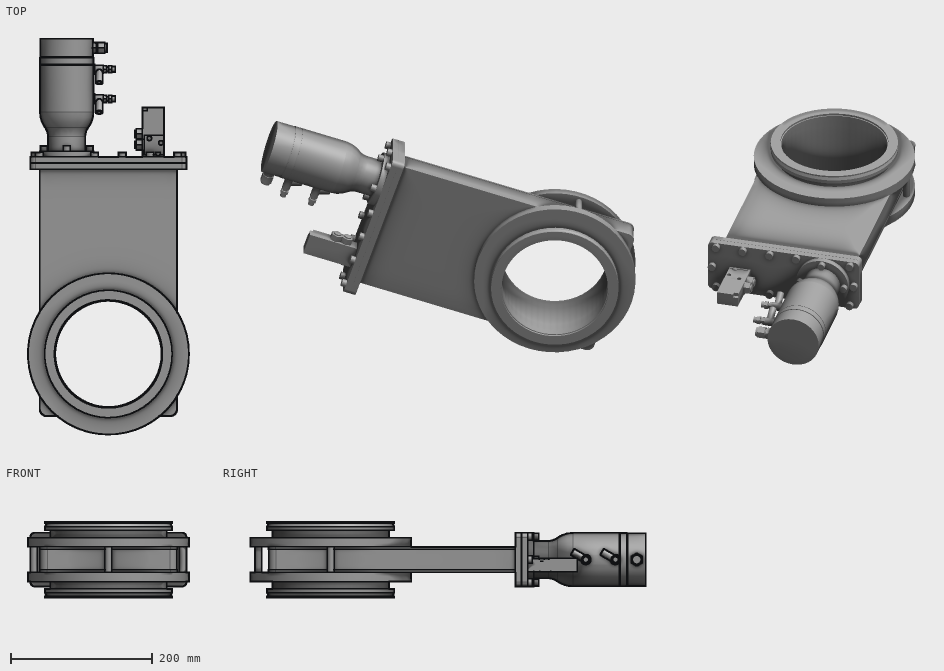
import cadquery as cq
import math


overall_height = 107.82
half_height = overall_height / 2
bore_radius = 75.2
rim_recess_radius = 76.6
rim_recess_depth = 3.0
flange_radius = 114.3
flange_thickness = 13.4
neck_radius = 82.8
rim_radius = 90.3
rim_groove_radius = 87.8
rim_lip_thickness = 2.2
rim_groove_height = 5.1
rim_thickness = 12.4

body_thickness = 35.8
body_width = 195.0
body_front_y = -88.3
body_corner_radius = 10.0
cover_thickness = 3.4
core_inset = 0.5
flange_top_z = body_thickness / 2 + flange_thickness

rod_diameter = 10.0
side_rod_x = 105.7
front_rod_y = -102.5

bonnet_width = 221.6
bonnet_height = 76.8
bonnet_front_y = 261.6
bonnet_plate_thickness = 8.9
bonnet_corner_radius = 7.0
bonnet_joint_depth = 0.3
bonnet_joint_width = 0.4
bonnet_back_y = bonnet_front_y + 2 * bonnet_plate_thickness

screw_head_diameter = 10.8
screw_head_height = 6.4
screw_pitch = 39.2
screws_per_row = 6
screw_row_z = 32.7
side_screw_x = 104.0

actuator_x = -59.2
actuator_end_y = 446.86
actuator_radius = 38.1
actuator_neck_radius = 26.6
actuator_flange_radius = 38.3
actuator_flange_thickness = 8.2
shoulder_start_y = 343.2
cap_joint_y = 420.2
ring_joint_y = 410.0
joint_groove_width = 1.5
joint_groove_depth = 0.6
cap_radius = 37.6
shoulder_radius = 37.0
shoulder_length = 22.0
actuator_screw_offset = 32.4
actuator_screw_diameter = 10.0
actuator_screw_height = 7.4
actuator_flange_y = bonnet_back_y + actuator_flange_thickness

fitting_root_fraction = 0.9

gland_y = 433.8
gland_root_x = actuator_x + fitting_root_fraction * cap_radius
gland_steps = [
    (True, -17.5, 15.6),
    (False, -15.2, 12.5),
    (True, -5.0, 15.6),
    (False, -1.7, 13.0),
]

elbow_y_positions = (403.5, 361.6)
elbow_root_x = actuator_x + fitting_root_fraction * actuator_radius
elbow_steps = [
    (False, -19.6, 14.0),
    (False, -7.2, 11.6),
    (True, -2.4, 10.6),
    (False, 0.2, 6.5),
    (True, 5.0, 10.6),
    (False, 10.0, 8.4),
]
elbow_outlet_x = -13.0
elbow_outlet_diameter = 10.2
elbow_outlet_length = 22.0
elbow_outlet_tilt = 30.0
elbow_outlet_bore = 6.0
elbow_outlet_bore_depth = 3.0

pilot_min_x = 48.0
pilot_max_x = 78.8
pilot_end_y = 349.6
pilot_top_z = 2.0
pilot_bottom_z = -17.0
pilot_middle_z = (pilot_top_z + pilot_bottom_z) / 2
pilot_base_min_x = 50.8
pilot_base_min_y = 282.0
pilot_base_max_y = 309.8
pilot_base_step = 0.8
pilot_holes = [(58.0, 305.6, 6.5), (74.5, 299.2, 6.5)]
pilot_hole_depth = 4.0
notch_max_x = 55.2
notch_min_y = 344.6
notch_depth = 5.0
pilot_screw_x = 70.2
pilot_screw_z = -1.0
pilot_screw_diameter = 8.0
pilot_screw_height = 3.6
port_y_positions = (312.0, 296.5)
port_steps = [(True, 39.2, 15.0), (False, 37.3, 10.5)]

HEXAGON_HALF_CORNER = 180 / 6
OVERLAP = 1.0


def box(x_range, y_range, z_range):
    """Box spanning the given (low, high) ranges."""
    size = [high - low for low, high in (x_range, y_range, z_range)]
    return cq.Workplane("XY").box(*size, centered=False).translate((x_range[0], y_range[0], z_range[0]))


def cylinder_y(x, z, start_y, length, diameter):
    """Cylinder from start_y along +Y."""
    plane = cq.Plane(origin=(x, start_y, z), xDir=(1, 0, 0), normal=(0, 1, 0))
    return cq.Workplane(plane).circle(diameter / 2).extrude(length)


def stepped_fitting(root_x, y, z, steps):
    """Chain of round and hexagonal lengths along X; hexagons point a corner towards +Z."""
    fitting = None
    start_x = root_x
    for hexagonal, end_x, width in steps:
        plane = cq.Plane(origin=(start_x, y, z), xDir=(0, 0, 1), normal=(1, 0, 0))
        profile = cq.Workplane(plane)
        if hexagonal:
            corner_width = width / math.cos(math.radians(HEXAGON_HALF_CORNER))
            profile = profile.polygon(6, corner_width)
        else:
            profile = profile.circle(width / 2)
        segment = profile.extrude(end_x - start_x)
        fitting = segment if fitting is None else fitting.union(segment)
        start_x = end_x
    return fitting


def make_spool_half():
    """Flange, neck and clamp rim above the body, still without the bore."""
    lip_bottom_z = half_height - rim_lip_thickness
    return (
        cq.Workplane("XZ")
        .moveTo(0, body_thickness / 2)
        .lineTo(flange_radius, body_thickness / 2)
        .lineTo(flange_radius, flange_top_z)
        .lineTo(neck_radius, flange_top_z)
        .lineTo(neck_radius, half_height - rim_thickness)
        .lineTo(rim_radius, half_height - rim_thickness)
        .lineTo(rim_radius, lip_bottom_z - rim_groove_height)
        .lineTo(rim_groove_radius, lip_bottom_z)
        .lineTo(rim_radius, lip_bottom_z)
        .lineTo(rim_radius, half_height)
        .lineTo(0, half_height)
        .close()
        .revolve(360, (0, 0, 0), (0, 1, 0))
    )


def make_body_slab(inset, thickness):
    """Slab with rounded front corners, reaching back into the bonnet."""
    half_width = body_width / 2 - inset
    slab = box(
        (-half_width, half_width),
        (body_front_y + inset, bonnet_front_y + OVERLAP),
        (-thickness / 2, thickness / 2),
    )
    return slab.edges("|Z and <Y").fillet(body_corner_radius)


def make_gate_body():
    core_thickness = body_thickness - 2 * cover_thickness
    cover_offset = (body_thickness - cover_thickness) / 2
    cover = make_body_slab(0, cover_thickness)
    body = make_body_slab(core_inset, core_thickness)
    for side in (-1, 1):
        body = body.union(cover.translate((0, 0, side * cover_offset)))
    return body


def make_tie_rods():
    length = body_thickness + 2 * OVERLAP
    positions = [(-side_rod_x, 0), (side_rod_x, 0), (0, front_rod_y)]
    return (
        cq.Workplane("XY", origin=(0, 0, -length / 2))
        .pushPoints(positions)
        .circle(rod_diameter / 2)
        .extrude(length)
    )


def make_bonnet_slab(inset, start_y, thickness):
    half_width = bonnet_width / 2 - inset
    half_depth = bonnet_height / 2 - inset
    slab = box((-half_width, half_width), (start_y, start_y + thickness), (-half_depth, half_depth))
    return slab.edges("|Y").fillet(bonnet_corner_radius - inset)


def make_bonnet():
    """Two plates with a fine joint line between them, and their screw heads."""
    plate_thickness = bonnet_plate_thickness - bonnet_joint_width / 2
    bonnet = make_bonnet_slab(bonnet_joint_depth, bonnet_front_y, 2 * bonnet_plate_thickness)
    for start_y in (bonnet_front_y, bonnet_back_y - plate_thickness):
        bonnet = bonnet.union(make_bonnet_slab(0, start_y, plate_thickness))
    screws = [(-side_screw_x, 0), (side_screw_x, 0)]
    for index in range(screws_per_row):
        x = (index - (screws_per_row - 1) / 2) * screw_pitch
        screws += [(x, -screw_row_z), (x, screw_row_z)]
    for x, z in screws:
        head = cylinder_y(x, z, bonnet_back_y - OVERLAP, screw_head_height + OVERLAP, screw_head_diameter)
        bonnet = bonnet.union(head)
    return bonnet


def make_actuator_shell():
    """Turned cylinder: flange, neck, reverse-curve shoulder, barrel and cap."""
    shoulder_angle = math.asin(shoulder_length / shoulder_radius)
    convex_drop = shoulder_radius * (1 - math.cos(shoulder_angle))
    concave_drop = actuator_radius - actuator_neck_radius - convex_drop
    concave_radius = concave_drop / (1 - math.cos(shoulder_angle))
    meeting_y = shoulder_start_y - shoulder_length
    neck_end_y = meeting_y - concave_radius * math.sin(shoulder_angle)
    half_angle = shoulder_angle / 2
    concave_middle = (
        actuator_neck_radius + concave_radius * (1 - math.cos(half_angle)),
        neck_end_y + concave_radius * math.sin(half_angle),
    )
    convex_middle = (
        actuator_radius - shoulder_radius * (1 - math.cos(half_angle)),
        shoulder_start_y - shoulder_radius * math.sin(half_angle),
    )
    groove_floor = actuator_radius - joint_groove_depth
    half_groove = joint_groove_width / 2
    return (
        cq.Workplane("XY")
        .moveTo(0, bonnet_back_y - OVERLAP)
        .lineTo(actuator_flange_radius, bonnet_back_y - OVERLAP)
        .lineTo(actuator_flange_radius, actuator_flange_y)
        .lineTo(actuator_neck_radius, actuator_flange_y)
        .lineTo(actuator_neck_radius, neck_end_y)
        .threePointArc(concave_middle, (actuator_radius - convex_drop, meeting_y))
        .threePointArc(convex_middle, (actuator_radius, shoulder_start_y))
        .lineTo(actuator_radius, ring_joint_y - half_groove)
        .lineTo(groove_floor, ring_joint_y - half_groove)
        .lineTo(groove_floor, ring_joint_y + half_groove)
        .lineTo(actuator_radius, ring_joint_y + half_groove)
        .lineTo(actuator_radius, cap_joint_y - half_groove)
        .lineTo(cap_radius - joint_groove_depth, cap_joint_y - half_groove)
        .lineTo(cap_radius - joint_groove_depth, cap_joint_y + half_groove)
        .lineTo(cap_radius, cap_joint_y + half_groove)
        .lineTo(cap_radius, actuator_end_y)
        .lineTo(0, actuator_end_y)
        .close()
        .revolve(360, (0, 0, 0), (0, 1, 0))
        .translate((actuator_x, 0, 0))
    )


def make_elbow(y):
    """Straight stepped fitting with a branch tilted up from the -Y direction."""
    tilt = math.radians(elbow_outlet_tilt)
    direction = cq.Vector(0, -math.cos(tilt), math.sin(tilt))
    start = cq.Vector(elbow_outlet_x, y, 0)
    outlet_plane = cq.Plane(origin=start.toTuple(), xDir=(1, 0, 0), normal=direction.toTuple())
    outlet = cq.Workplane(outlet_plane).circle(elbow_outlet_diameter / 2).extrude(elbow_outlet_length)
    bore = (
        cq.Workplane(outlet_plane)
        .workplane(offset=elbow_outlet_length - elbow_outlet_bore_depth)
        .circle(elbow_outlet_bore / 2)
        .extrude(elbow_outlet_bore_depth)
    )
    return stepped_fitting(elbow_root_x, y, 0, elbow_steps).union(outlet).cut(bore)


def make_actuator():
    actuator = make_actuator_shell()
    offset = actuator_screw_offset
    for dx, dz in ((offset, 0), (-offset, 0), (0, offset), (0, -offset)):
        head = cylinder_y(
            actuator_x + dx,
            dz,
            actuator_flange_y - OVERLAP,
            actuator_screw_height + OVERLAP,
            actuator_screw_diameter,
        )
        actuator = actuator.union(head)
    actuator = actuator.union(stepped_fitting(gland_root_x, gland_y, 0, gland_steps))
    for y in elbow_y_positions:
        actuator = actuator.union(make_elbow(y))
    return actuator


def make_pilot_valve():
    """Block with a recessed base area, a corner notch, screw recesses, a screw head and side ports."""
    pilot = box(
        (pilot_min_x, pilot_max_x),
        (bonnet_back_y - OVERLAP, pilot_end_y),
        (pilot_bottom_z, pilot_top_z),
    )
    base_recess = box(
        (pilot_base_min_x, pilot_max_x),
        (pilot_base_min_y, pilot_base_max_y),
        (pilot_top_z - pilot_base_step, pilot_top_z),
    )
    corner_notch = box(
        (pilot_min_x, notch_max_x),
        (notch_min_y, pilot_end_y),
        (pilot_top_z - notch_depth, pilot_top_z),
    )
    pilot = pilot.cut(base_recess).cut(corner_notch)
    for x, y, diameter in pilot_holes:
        recess = (
            cq.Workplane("XY", origin=(x, y, pilot_top_z))
            .circle(diameter / 2)
            .extrude(-pilot_hole_depth)
        )
        pilot = pilot.cut(recess)
    screw_head = cylinder_y(
        pilot_screw_x,
        pilot_screw_z,
        pilot_base_min_y - OVERLAP,
        pilot_screw_height + OVERLAP,
        pilot_screw_diameter,
    )
    pilot = pilot.union(screw_head)
    for y in port_y_positions:
        pilot = pilot.union(stepped_fitting(pilot_min_x + OVERLAP, y, pilot_middle_z, port_steps))
    return pilot


def make_bore():
    """Through bore with a shallow recess at each rim."""
    bore = cq.Workplane("XY").circle(bore_radius).extrude(half_height, both=True)
    recess = (
        cq.Workplane("XY", origin=(0, 0, half_height))
        .circle(rim_recess_radius)
        .extrude(-rim_recess_depth)
    )
    return bore.union(recess).union(recess.mirror("XY"))


spool_half = make_spool_half()
valve = make_gate_body().union(spool_half).union(spool_half.mirror("XY"))
valve = valve.union(make_tie_rods()).cut(make_bore())
valve = valve.union(make_bonnet())
valve = valve.union(make_actuator())
result = valve.union(make_pilot_valve())